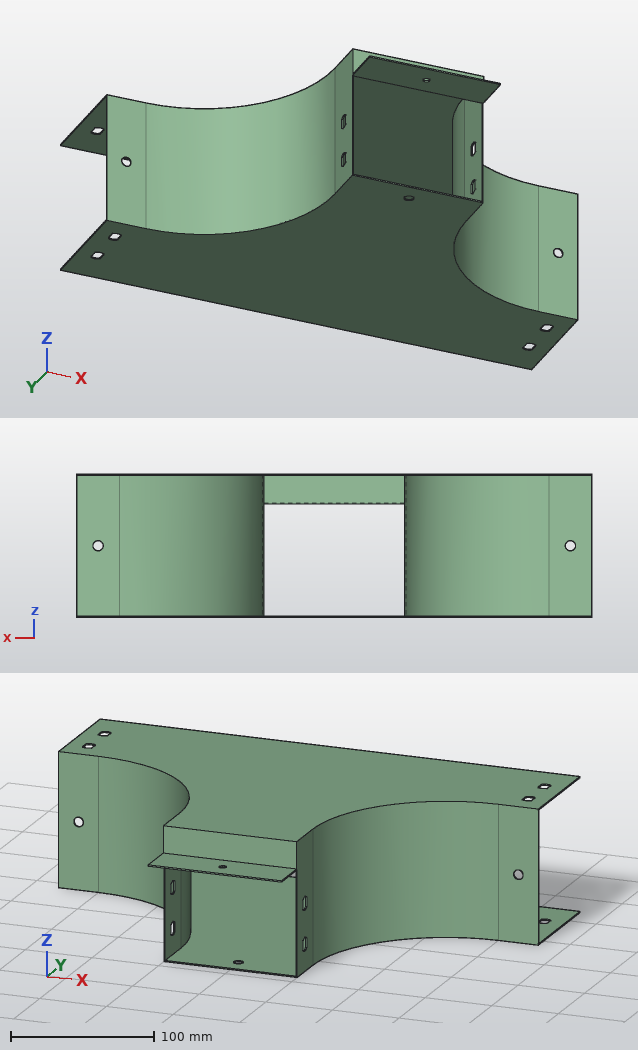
import cadquery as cq


length = 360.0
depth = 240.0
height = 100.0
sheet = 1.0

branch_width = 100.0
bend_radius = 100.0
end_straight = (length - branch_width) / 2 - bend_radius
lip_length = 30.0
lip_drop = 20.0

back_y = depth / 2
mouth_y = -depth / 2 + lip_length
bend_end_y = mouth_y + end_straight
run_front_y = bend_end_y + bend_radius
half_length = length / 2
half_branch = branch_width / 2
bend_center_x = half_branch + bend_radius

fixing_inset = end_straight / 2
fixing_x = half_length - fixing_inset
fixing_y = mouth_y + fixing_inset
hole_diameter = 7.0
lip_hole_diameter = 5.0
slot_length = 10.0
slot_width = 7.0
slot_pitch = 30.0
plate_slot_from_back = 30.0
wall_slot_height = 20.0


def bend_middle(radius):
    """Midpoint of the right-hand quarter bend of the given radius."""
    offset = radius * 0.5**0.5
    return (bend_center_x - offset, bend_end_y + offset)


def make_plate():
    """T-shaped plate with its lower face on Z = 0."""
    middle_x, middle_y = bend_middle(bend_radius)
    return (
        cq.Workplane("XY")
        .moveTo(-half_length, back_y)
        .lineTo(half_length, back_y)
        .lineTo(half_length, run_front_y)
        .lineTo(bend_center_x, run_front_y)
        .threePointArc((middle_x, middle_y), (half_branch, bend_end_y))
        .lineTo(half_branch, mouth_y)
        .lineTo(-half_branch, mouth_y)
        .lineTo(-half_branch, bend_end_y)
        .threePointArc((-middle_x, middle_y), (-bend_center_x, run_front_y))
        .lineTo(-half_length, run_front_y)
        .close()
        .extrude(sheet)
    )


def make_right_wall():
    """Curved side wall, its outer face flush with the plate edge."""
    inner_x = half_branch - sheet
    inner_y = run_front_y + sheet
    return (
        cq.Workplane("XY")
        .moveTo(half_length, run_front_y)
        .lineTo(bend_center_x, run_front_y)
        .threePointArc(bend_middle(bend_radius), (half_branch, bend_end_y))
        .lineTo(half_branch, mouth_y)
        .lineTo(inner_x, mouth_y)
        .lineTo(inner_x, bend_end_y)
        .threePointArc(bend_middle(bend_radius + sheet), (bend_center_x, inner_y))
        .lineTo(half_length, inner_y)
        .close()
        .extrude(height)
    )


def make_lip():
    """Step down from the top plate and level lip in front of the branch mouth."""
    lip_bottom = height - lip_drop - sheet
    step = cq.Workplane("XY").box(
        branch_width, sheet, height - lip_bottom, centered=(True, False, False)
    )
    lip = cq.Workplane("XY").box(
        branch_width, lip_length, sheet, centered=(True, False, False)
    )
    step = step.translate((0, mouth_y - sheet, lip_bottom))
    lip = lip.translate((0, mouth_y - lip_length, lip_bottom))
    return step.union(lip)


def make_slots(plane, centers, reach):
    """Cutters for slots with parallel flanks and ends on one common circle."""
    layout = cq.Workplane(plane).pushPoints(centers)
    flanks = layout.rect(slot_width, slot_length).extrude(reach, both=True)
    rounds = layout.circle(slot_length / 2).extrude(reach, both=True)
    return flanks.intersect(rounds)


def cut_plate_slots(body):
    """Slots through both plates near the two ends of the straight run."""
    first_y = back_y - plate_slot_from_back
    centers = []
    for x in (-fixing_x, fixing_x):
        for y in (first_y, first_y - slot_pitch):
            centers.append((x, y))
    return body.cut(make_slots("XY", centers, height))


def cut_wall_slots(body):
    """Upright slots through both side walls near the branch mouth."""
    centers = [
        (fixing_y, wall_slot_height),
        (fixing_y, wall_slot_height + slot_pitch),
    ]
    return body.cut(make_slots("YZ", centers, half_branch))


def cut_wall_holes(body):
    """Round holes through the straight outer ends of the side walls."""
    holes = (
        cq.Workplane("XZ", origin=(0, run_front_y + sheet, 0))
        .pushPoints([(-fixing_x, height / 2), (fixing_x, height / 2)])
        .circle(hole_diameter / 2)
        .extrude(sheet)
    )
    return body.cut(holes)


def cut_mouth_holes(body):
    """Round holes on the centre line of the bottom plate and of the lip."""
    bottom_hole = (
        cq.Workplane("XY")
        .center(0, fixing_y)
        .circle(hole_diameter / 2)
        .extrude(sheet)
    )
    lip_hole = (
        cq.Workplane("XY")
        .center(0, mouth_y - lip_length / 2)
        .circle(lip_hole_diameter / 2)
        .extrude(height)
    )
    return body.cut(bottom_hole).cut(lip_hole)


bottom_plate = make_plate()
top_plate = make_plate().translate((0, 0, height - sheet))
right_wall = make_right_wall()
left_wall = right_wall.mirror("YZ")
lip = make_lip()

body = bottom_plate.union(top_plate).union(right_wall).union(left_wall).union(lip)
body = cut_plate_slots(body)
body = cut_wall_slots(body)
body = cut_wall_holes(body)
result = cut_mouth_holes(body)